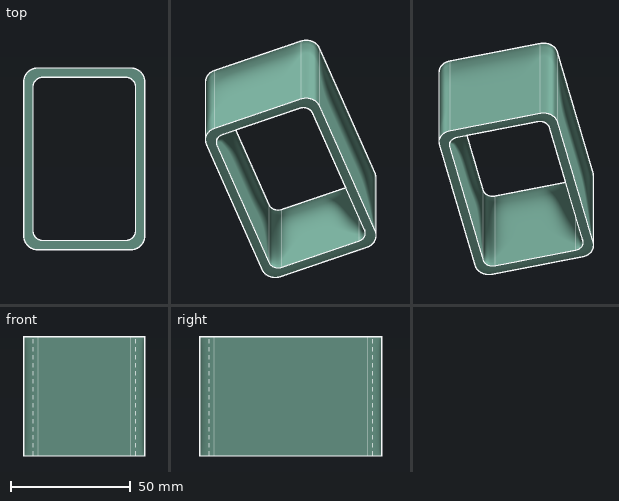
import cadquery as cq

INCH = 25.4
width = 2 * INCH
depth = 3 * INCH
length = 50.0
wall = 4.0
outer_radius = 6.0
inner_radius = 4.0


def rounded_bar(size_x, size_y, corner_radius):
    """Solid bar along Z with rounded vertical corners, standing on Z = 0."""
    bar = cq.Workplane("XY").rect(size_x, size_y).extrude(length)
    return bar.edges("|Z").fillet(corner_radius)


outer_bar = rounded_bar(width, depth, outer_radius)
bore = rounded_bar(width - 2 * wall, depth - 2 * wall, inner_radius)

result = outer_bar.cut(bore)